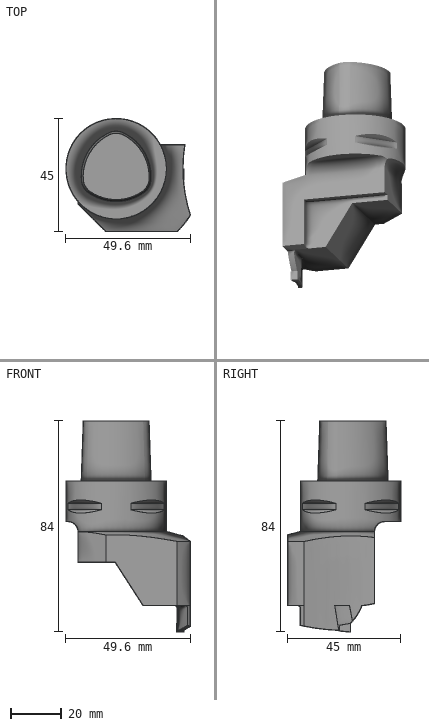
import cadquery as cq
import math


SHANK_HEIGHT = 23.8
LOBE_REACH = 14.95
SIDE_REACH = 13.1
NOSE_DROP = 0.3
NOSE_HALF_WIDTH = 2.2
TAPER_INSET = 0.8

FLANGE_RADIUS = 40.0 / 2
FLANGE_BOTTOM = -20.2
GROOVE_Z = -10.25
GROOVE_FLOOR_RADIUS = 17.65
GROOVE_FLOOR_HALF = 1.3
GROOVE_MOUTH_HALF = 2.6
UNDERCUT_TOP = -16.3

HEAD_LEFT = -15.2
HEAD_BACK = 9.6
HEAD_FRONT = FLANGE_RADIUS - 45.0
BEVEL_Y = -13.95
BEVEL_X = -4.0
HEAD_RADIUS = 34.9
HEAD_RIGHT = 29.6
HEAD_CORNER_Y = -math.sqrt(HEAD_RADIUS**2 - HEAD_RIGHT**2)
HEAD_FRONT_X = math.sqrt(HEAD_RADIUS**2 - HEAD_FRONT**2)
CLEARANCE_MID = (26.6, 0.8)
CLEARANCE_BACK_X = 27.4
SHOULDER_ANGLE = 15.0
STEP_Z = -32.4
HEAD_BOTTOM = -49.65
SLOPE_TOP_X = -0.4
SLOPE_BOTTOM_X = 10.7

POCKET_TOP = -30.4
POCKET_FLOOR_Y = 5.55
POCKET_WALL_X = 18.5
POCKET_FILLET = 1.3
RELIEF_RISE = 0.75

BLADE_INNER_X = 24.3
BLADE_BACK_Y = 4.5
BLADE_FRONT = (28.4, -20.1)
BLADE_BACK_X = 24.5
BLADE_FRONT_Z = -57.55
BLADE_FILLET = 1.0
BLADE_ROOT_POINT = (25.2, -7.8, HEAD_BOTTOM)
BLADE_BACK_BOW = (2.85, -53.1)
BLADE_BOTTOM_BOW = (-11.8, -59.0)

INSERT_OUTER_X = 26.6
SEAT_TOP_BACK_Y = -0.4
SEAT_TOP_FRONT_Y = -6.3
SEAT_HEEL = (0.75, -55.9)
SEAT_TOE = (-4.7, -59.6)
TIP_INNER_X = 24.0
TIP_WIDTH = 3.0
TIP_TOP_Z = -56.7
TOTAL_HEIGHT = 84.0
TIP_BOTTOM_Z = SHANK_HEIGHT - TOTAL_HEIGHT
TIP_BACK_TOP = (-4.3, -57.5)
TIP_BACK_BOTTOM = (-4.45, -59.8)
TIP_RELIEF = 0.25
TIP_RELIEF_START = 0.25

MARGIN = 8.4
SPAN = 84.0


def rotated(point, degrees):
    angle = math.radians(degrees)
    x, y = point
    return (
        x * math.cos(angle) - y * math.sin(angle),
        x * math.sin(angle) + y * math.cos(angle),
    )


def lobed_outline(plane, inset):
    """Three nose arcs joined by three flatter side arcs."""
    nose = (0, LOBE_REACH - inset)
    nose_start = (NOSE_HALF_WIDTH, nose[1] - NOSE_DROP)
    nose_end = (-NOSE_HALF_WIDTH, nose[1] - NOSE_DROP)
    side_middle = (0, -(SIDE_REACH - inset))
    outline = plane.moveTo(*nose_start)
    for turn in (0, 120, 240):
        outline = outline.threePointArc(rotated(nose, turn), rotated(nose_end, turn))
        outline = outline.threePointArc(
            rotated(side_middle, turn + 240), rotated(nose_start, turn + 120)
        )
    return outline.close()


def make_shank():
    base = lobed_outline(cq.Workplane("XY"), 0)
    top_plane = base.workplane(offset=SHANK_HEIGHT)
    return lobed_outline(top_plane, TAPER_INSET).loft(ruled=True, combine=True)


def gripper_groove():
    """Straight groove of tapered section across the +X side of the flange."""
    return (
        cq.Workplane("XZ")
        .moveTo(GROOVE_FLOOR_RADIUS, GROOVE_Z - GROOVE_FLOOR_HALF)
        .lineTo(FLANGE_RADIUS, GROOVE_Z - GROOVE_MOUTH_HALF)
        .lineTo(FLANGE_RADIUS, GROOVE_Z + GROOVE_MOUTH_HALF)
        .lineTo(GROOVE_FLOOR_RADIUS, GROOVE_Z + GROOVE_FLOOR_HALF)
        .close()
        .extrude(FLANGE_RADIUS, both=True)
    )


def undercut(plane, face, outward):
    """Cut outside a head face, ending in a concave quarter round."""
    radius = UNDERCUT_TOP - FLANGE_BOTTOM
    diagonal = radius * math.sqrt(0.5)
    centre = face + outward * radius
    outside = outward * (FLANGE_RADIUS + MARGIN)
    return (
        cq.Workplane(plane)
        .moveTo(face, FLANGE_BOTTOM)
        .threePointArc(
            (centre - outward * diagonal, FLANGE_BOTTOM + diagonal), (centre, UNDERCUT_TOP)
        )
        .lineTo(outside, UNDERCUT_TOP)
        .lineTo(outside, FLANGE_BOTTOM)
        .close()
        .extrude(SPAN, both=True)
    )


def make_flange():
    flange = cq.Workplane("XY").circle(FLANGE_RADIUS).extrude(FLANGE_BOTTOM)
    for angle in (45, 135, 225, 315):
        flange = flange.cut(gripper_groove().rotate((0, 0, 0), (0, 0, 1), angle))
    flange = flange.cut(undercut("XZ", HEAD_LEFT, -1))
    return flange.cut(undercut("YZ", HEAD_BACK, 1))


def round_corner_middle():
    angle = (math.atan2(HEAD_FRONT, HEAD_FRONT_X) + math.atan2(HEAD_CORNER_Y, HEAD_RIGHT)) / 2
    return (HEAD_RADIUS * math.cos(angle), HEAD_RADIUS * math.sin(angle))


def head_prism():
    return (
        cq.Workplane("XY")
        .workplane(offset=HEAD_BOTTOM)
        .moveTo(HEAD_LEFT, HEAD_BACK)
        .lineTo(HEAD_LEFT, BEVEL_Y)
        .lineTo(BEVEL_X, HEAD_FRONT)
        .lineTo(HEAD_FRONT_X, HEAD_FRONT)
        .threePointArc(round_corner_middle(), (HEAD_RIGHT, HEAD_CORNER_Y))
        .threePointArc(CLEARANCE_MID, (CLEARANCE_BACK_X, HEAD_BACK))
        .close()
        .extrude(FLANGE_BOTTOM - HEAD_BOTTOM)
    )


def shoulder_envelope():
    """Turned shape with a flat top inside the flange radius and a cone outside it."""
    outer_radius = HEAD_RADIUS + MARGIN
    cone_drop = (outer_radius - FLANGE_RADIUS) * math.tan(math.radians(SHOULDER_ANGLE))
    return (
        cq.Workplane("XZ")
        .moveTo(0, HEAD_BOTTOM)
        .lineTo(outer_radius, HEAD_BOTTOM)
        .lineTo(outer_radius, FLANGE_BOTTOM - cone_drop)
        .lineTo(FLANGE_RADIUS, FLANGE_BOTTOM)
        .lineTo(0, FLANGE_BOTTOM)
        .close()
        .revolve(360, (0, 0, 0), (0, 1, 0))
    )


def underside_cut():
    """Empty space below the step and left of the slope."""
    left = HEAD_LEFT - MARGIN
    return (
        cq.Workplane("XZ")
        .moveTo(left, STEP_Z)
        .lineTo(SLOPE_TOP_X, STEP_Z)
        .lineTo(SLOPE_BOTTOM_X, HEAD_BOTTOM)
        .lineTo(left, HEAD_BOTTOM)
        .close()
        .extrude(SPAN, both=True)
    )


def back_pocket():
    left = HEAD_LEFT - MARGIN
    return (
        cq.Workplane("XY")
        .box(
            POCKET_WALL_X - left,
            MARGIN,
            POCKET_TOP - HEAD_BOTTOM,
            centered=False,
        )
        .edges("|Z and >X and <Y")
        .fillet(POCKET_FILLET)
        .translate((left, POCKET_FLOOR_Y, HEAD_BOTTOM))
    )


def underside_relief():
    return (
        cq.Workplane("YZ")
        .moveTo(POCKET_FLOOR_Y, HEAD_BOTTOM)
        .lineTo(HEAD_BACK, HEAD_BOTTOM)
        .lineTo(HEAD_BACK, HEAD_BOTTOM + RELIEF_RISE)
        .close()
        .extrude(SPAN, both=True)
    )


def make_head():
    head = head_prism().intersect(shoulder_envelope())
    return head.cut(underside_cut()).cut(back_pocket()).cut(underside_relief())


def blade_side_profile():
    """Side outline of the blade, with bowed bottom and back edges."""
    return (
        cq.Workplane("YZ")
        .moveTo(BLADE_BACK_Y, HEAD_BOTTOM)
        .threePointArc(BLADE_BACK_BOW, SEAT_HEEL)
        .lineTo(0, TIP_TOP_Z)
        .lineTo(*SEAT_TOE)
        .threePointArc(BLADE_BOTTOM_BOW, (BLADE_FRONT[1], BLADE_FRONT_Z))
        .lineTo(HEAD_FRONT, BLADE_FRONT_Z)
        .lineTo(HEAD_FRONT, HEAD_BOTTOM)
        .close()
        .extrude(SPAN)
    )


def make_blade():
    inner_face_back = (BLADE_BACK_X, BLADE_BACK_Y + MARGIN / 2)
    plan = (
        cq.Workplane("XY")
        .workplane(offset=HEAD_BOTTOM)
        .moveTo(*inner_face_back)
        .threePointArc((BLADE_INNER_X, 0), BLADE_FRONT)
        .lineTo(HEAD_RIGHT, HEAD_CORNER_Y)
        .threePointArc(CLEARANCE_MID, (CLEARANCE_BACK_X, HEAD_BACK))
        .close()
        .extrude(TIP_BOTTOM_Z - HEAD_BOTTOM)
    )
    return plan.intersect(blade_side_profile())


def insert_prism():
    """Leaning insert shape, wide enough in X to cut through the blade."""
    return (
        cq.Workplane("YZ")
        .moveTo(SEAT_TOP_BACK_Y, HEAD_BOTTOM)
        .lineTo(*SEAT_HEEL)
        .lineTo(0, TIP_TOP_Z)
        .lineTo(*TIP_BACK_TOP)
        .lineTo(*TIP_BACK_BOTTOM)
        .lineTo(*SEAT_TOE)
        .lineTo(SEAT_TOP_FRONT_Y, HEAD_BOTTOM)
        .close()
        .extrude(SPAN)
    )


def make_insert():
    return (
        insert_prism()
        .intersect(
            cq.Workplane("XY")
            .box(INSERT_OUTER_X - BLADE_INNER_X, SPAN, SPAN, centered=(False, True, True))
            .translate((BLADE_INNER_X, 0, HEAD_BOTTOM))
        )
    )


def tip_side_relief():
    """Slanted slab that leans the lower inner side of the tip away from the cut."""
    start = cq.Vector(TIP_INNER_X, 0, TIP_BOTTOM_Z + TIP_RELIEF_START)
    upper_back = cq.Vector(TIP_INNER_X, *TIP_BACK_TOP)
    lower_back = cq.Vector(TIP_INNER_X + TIP_RELIEF, *TIP_BACK_BOTTOM)
    along = upper_back - start
    outward = along.cross(lower_back - start)
    if outward.x > 0:
        outward = outward * -1
    plane = cq.Plane(origin=start, xDir=along, normal=outward)
    return cq.Workplane(plane).rect(SPAN, SPAN).extrude(MARGIN)


def make_tip():
    tip_block = (
        cq.Workplane("YZ")
        .workplane(offset=TIP_INNER_X)
        .moveTo(0, TIP_TOP_Z)
        .lineTo(*TIP_BACK_TOP)
        .lineTo(*TIP_BACK_BOTTOM)
        .lineTo(0, TIP_BOTTOM_Z)
        .close()
        .extrude(TIP_WIDTH)
    )
    return tip_block.cut(tip_side_relief())


def make_holder():
    body = make_shank().union(make_flange()).union(make_head()).union(make_blade())
    root_edge = cq.selectors.NearestToPointSelector(BLADE_ROOT_POINT)
    body = body.edges(root_edge).fillet(BLADE_FILLET)
    return body.cut(insert_prism()).cut(make_tip())


holder = make_holder()
insert = make_insert()
tip = make_tip()

result = cq.Compound.makeCompound([holder.solids().val(), insert.solids().val(), tip.solids().val()])